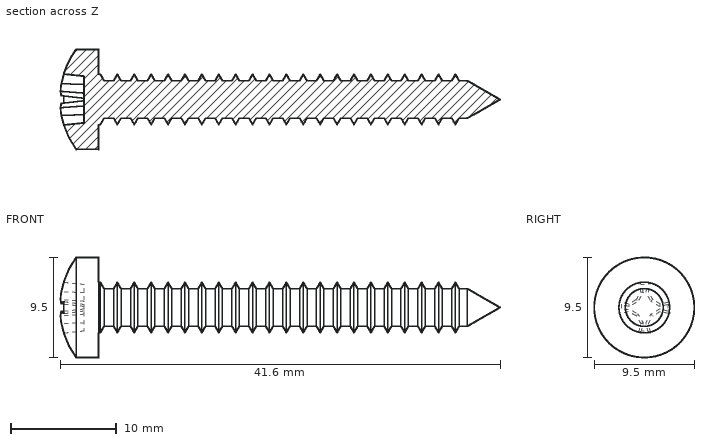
import cadquery as cq
import math

shank_length = 38.0
core_diameter = 3.58
thread_diameter = 4.8
tip_angle = 60.0

head_diameter = 9.5
head_height = 3.7
rim_height = 2.15

pitch = 1.6
ring_count = 21
collar_length = 0.16
thread_angle = 60.0

recess_depth = 2.3
recess_draft = 6.0
wing_floor_reach = 2.2
wing_neck_reach = 1.45
wing_neck_half_width = 0.12
wing_flare = 14.0
star_wall_angle = 30.0


def make_head():
    """Cylindrical rim with a spherical dome on the -X side."""
    radius = head_diameter / 2
    dome_rise = head_height - rim_height
    dome_radius = (radius**2 + dome_rise**2) / (2 * dome_rise)
    half_radius = radius / 2
    half_drop = dome_radius - math.sqrt(dome_radius**2 - half_radius**2)
    outline = (
        cq.Workplane("XY")
        .moveTo(0, 0)
        .lineTo(0, radius)
        .lineTo(-rim_height, radius)
        .threePointArc((-head_height + half_drop, half_radius), (-head_height, 0))
        .close()
    )
    return outline.revolve(360, (0, 0, 0), (1, 0, 0))


def make_shank():
    """Core, thread rings and conical tip, revolved from one outline."""
    core_radius = core_diameter / 2
    crest_radius = thread_diameter / 2
    tip_length = core_radius / math.tan(math.radians(tip_angle / 2))
    half_base = (crest_radius - core_radius) * math.tan(math.radians(thread_angle / 2))
    outline = (
        cq.Workplane("XY")
        .lineTo(0, crest_radius)
        .lineTo(collar_length, crest_radius)
        .lineTo(collar_length + half_base, core_radius)
    )
    for index in range(1, ring_count + 1):
        crest = collar_length + index * pitch
        outline = (
            outline.lineTo(crest - half_base, core_radius)
            .lineTo(crest, crest_radius)
            .lineTo(crest + half_base, core_radius)
        )
    outline = outline.lineTo(shank_length - tip_length, core_radius).lineTo(shank_length, 0).close()
    return outline.revolve(360, (0, 0, 0), (1, 0, 0))


def recess_section(height_above_floor):
    """Recess outline at a height above its floor, every wall moved outward by the draft."""
    growth = height_above_floor * math.tan(math.radians(recess_draft))
    flare = math.radians(wing_flare)
    star = math.radians(star_wall_angle)
    neck_shift = growth * (1 / math.cos(star) - 1 / math.cos(flare)) / (math.tan(flare) + math.tan(star))
    neck_reach = wing_neck_reach + neck_shift
    neck_half_width = wing_neck_half_width + neck_shift * math.tan(flare) + growth / math.cos(flare)
    end_reach = wing_floor_reach + growth
    end_half_width = neck_half_width + (end_reach - neck_reach) * math.tan(flare)
    inner_corner = (neck_half_width + neck_reach * math.tan(star)) / (1 + math.tan(star))
    quarter = [
        (end_reach, -end_half_width),
        (end_reach, end_half_width),
        (neck_reach, neck_half_width),
        (inner_corner, inner_corner),
        (neck_half_width, neck_reach),
    ]
    points = []
    for _ in range(4):
        points += quarter
        quarter = [(-v, u) for u, v in quarter]
    return points


def make_recess():
    """Drafted cutter, lofted from the flat recess floor to the plane touching the dome."""
    return (
        cq.Workplane("YZ", origin=(recess_depth - head_height, 0, 0))
        .polyline(recess_section(0))
        .close()
        .workplane(offset=-recess_depth)
        .polyline(recess_section(recess_depth))
        .close()
        .loft(ruled=True)
    )


result = make_head().union(make_shank()).cut(make_recess())